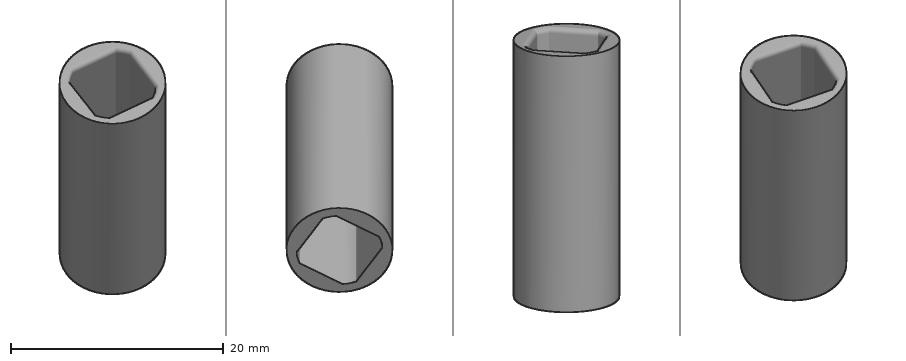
import cadquery as cq

length = 25.4
outer_diameter = 10.0
bore_across_flats = 6.6
bore_across_corners = 8.13
corner_blend_radius = 0.1
mouth_radius = 0.5


def make_bore():
    """Square bore whose four corners are cut back by a coaxial cylinder, with softened edges."""
    square = cq.Workplane("XY").rect(bore_across_flats, bore_across_flats).extrude(length)
    corner_cylinder = cq.Workplane("XY").circle(bore_across_corners / 2).extrude(length)
    bore = square.intersect(corner_cylinder)
    return bore.edges("|Z").fillet(corner_blend_radius)


sleeve = cq.Workplane("XY").circle(outer_diameter / 2).extrude(length)
sleeve = sleeve.cut(make_bore())

mouth_edges = sleeve.faces(">Z").wires(cq.selectors.LengthNthSelector(0)).edges()
result = mouth_edges.fillet(mouth_radius)